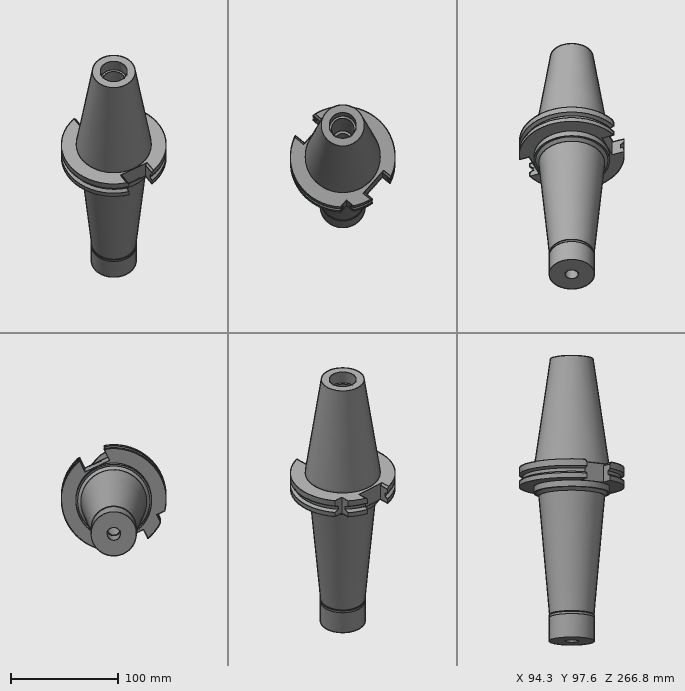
import cadquery as cq
import math

total_length = 266.8
taper_length = 101.5
gauge_to_flange = 1.5
gauge_to_groove = 11.2
gauge_to_flange_bottom = 19.2
collar_length = 6.0
transition_length = 3.0
nut_length = 22.1
ring_thickness = 2.1
nose_gap = 0.8

gauge_z = total_length - taper_length
flange_top_z = gauge_z - gauge_to_flange
groove_center_z = gauge_z - gauge_to_groove
flange_bottom_z = gauge_z - gauge_to_flange_bottom
collar_bottom_z = flange_bottom_z - collar_length
shank_top_z = collar_bottom_z - transition_length
ring_top_z = nut_length + ring_thickness
holder_end_z = ring_top_z + nose_gap

taper_small_radius = 20.0
gauge_radius = 35.0
flange_radius = 48.8
groove_floor_radius = 45.5
collar_radius = 35.2
transition_radius = 33.5
shank_top_radius = 30.7
shank_end_radius = 20.8
nose_radius = 21.0
neck_radius = 14.7

groove_floor_width = 3.2
groove_flank_angle = 30.0

slot_width = 25.3
left_slot_floor_x = -37.5
right_slot_floor_x = 35.5
slot_chamfer = 2.0
notch_edge_x = -30.1
notch_edge_y = 30.0

counterbore_radius = 12.5
counterbore_depth = 12.0
thread_radius = 10.5
thread_depth = 53.4
through_bore_radius = 7.7
ring_bore_radius = 7.0
nut_bore_radius = 6.1


def cylinder(radius, bottom_z, top_z):
    return cq.Workplane("XY").workplane(offset=bottom_z).circle(radius).extrude(top_z - bottom_z)


def revolve_profile(points):
    """Turn a closed (radius, height) outline around the Z axis."""
    return cq.Workplane("XZ").polyline(points).close().revolve(360, (0, 0), (0, 1))


def make_holder_blank():
    """Turned outside: steep taper, flange, collar, conical shank and neck."""
    profile = [
        (0, total_length),
        (taper_small_radius, total_length),
        (gauge_radius, gauge_z),
        (gauge_radius, flange_top_z),
        (flange_radius, flange_top_z),
        (flange_radius, flange_bottom_z),
        (collar_radius, flange_bottom_z),
        (collar_radius, collar_bottom_z),
        (transition_radius, collar_bottom_z),
        (shank_top_radius, shank_top_z),
        (shank_end_radius, holder_end_z),
        (neck_radius, holder_end_z),
        (neck_radius, ring_top_z),
        (0, ring_top_z),
    ]
    return revolve_profile(profile)


def make_groove():
    """Ring with a V section that is cut out of the flange rim."""
    depth = flange_radius - groove_floor_radius
    floor_half = groove_floor_width / 2
    mouth_half = floor_half + depth * math.tan(math.radians(groove_flank_angle))
    section = [
        (groove_floor_radius, groove_center_z - floor_half),
        (flange_radius, groove_center_z - mouth_half),
        (flange_radius, groove_center_z + mouth_half),
        (groove_floor_radius, groove_center_z + floor_half),
    ]
    return revolve_profile(section)


def make_slot(floor_x):
    """Drive slot running from floor_x outwards, with chamfered top edges."""
    half = slot_width / 2
    section = [
        (-half, flange_bottom_z),
        (half, flange_bottom_z),
        (half, flange_top_z - slot_chamfer),
        (half + slot_chamfer, flange_top_z),
        (-half - slot_chamfer, flange_top_z),
        (-half, flange_top_z - slot_chamfer),
    ]
    reach = math.copysign(flange_radius, floor_x)
    return cq.Workplane("YZ").workplane(offset=floor_x).polyline(section).close().extrude(reach)


def make_notch():
    """Corner cut from the flange on its -X, +Y side."""
    return cq.Workplane("XY").box(
        flange_radius, flange_radius, flange_top_z - flange_bottom_z, centered=False
    ).translate((notch_edge_x - flange_radius, notch_edge_y, flange_bottom_z))


def make_holder():
    """Tool holder with its flange cuts and stepped bore; the neck rests on the ring."""
    holder = make_holder_blank().cut(make_groove())
    for floor_x in (left_slot_floor_x, right_slot_floor_x):
        holder = holder.cut(make_slot(floor_x))
    holder = holder.cut(make_notch())
    holder = holder.cut(cylinder(counterbore_radius, total_length - counterbore_depth, total_length))
    holder = holder.cut(cylinder(thread_radius, total_length - thread_depth, total_length))
    return holder.cut(cylinder(through_bore_radius, ring_top_z, total_length))


def make_sleeve(bore_radius, bottom_z, top_z):
    """Bored sleeve with the outside radius of the nose."""
    return cylinder(nose_radius, bottom_z, top_z).cut(cylinder(bore_radius, bottom_z, top_z))


holder = make_holder()
ring = make_sleeve(ring_bore_radius, nut_length, ring_top_z)
nut = make_sleeve(nut_bore_radius, 0, nut_length)

result = cq.Compound.makeCompound([holder.val(), ring.val(), nut.val()])